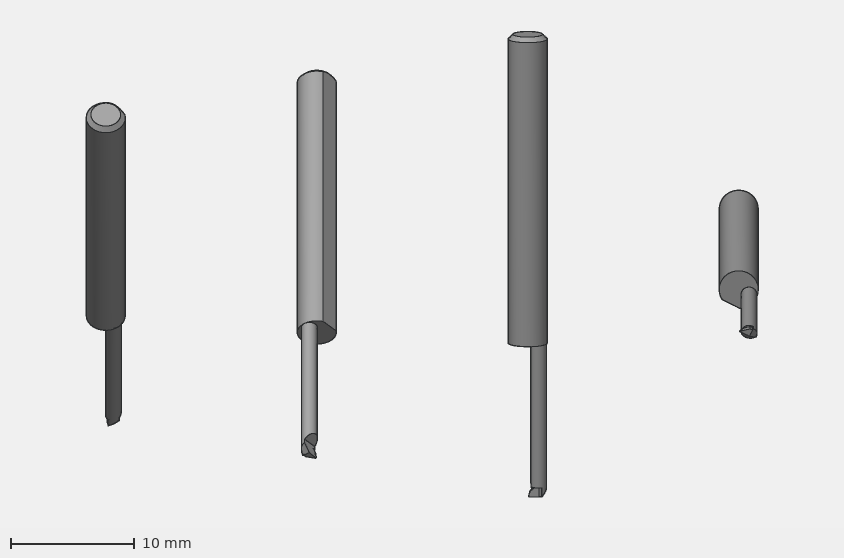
import cadquery as cq

total_length = 38.1
shank_diameter = 3.15
shank_radius = shank_diameter / 2
shank_flat_width = 2.95
shank_bottom = 12.7
shank_chamfer = 0.4

neck_diameter = 1.3
neck_radius = neck_diameter / 2
neck_x = shank_radius - neck_radius
neck_bottom = 0.08
relief_corner_z = 0.72
relief_end_x = 1.0
rake_y = 0.05
rake_bottom = 1.05

tooth_top = 0.8
tip_x = 0.08
tip_flank_top = 0.5
tip_flank_x = 0.2
tip_nose_x = 0.15
tooth_root_x = 0.45
clearance_x = 0.75
clearance_y = -0.55

margin = 0.4


def make_shank():
    """Round shank with a chamfered top end and a flat along its +Y side."""
    shank_length = total_length - shank_bottom
    shank = (
        cq.Workplane("XY", origin=(0, 0, shank_bottom))
        .circle(shank_radius)
        .extrude(shank_length)
        .faces(">Z")
        .chamfer(shank_chamfer)
    )
    keep = cq.Workplane("XY", origin=(0, 0, shank_bottom)).box(
        shank_diameter, shank_flat_width, shank_length, centered=(True, False, False)
    )
    return shank.intersect(keep.translate((0, -shank_radius, 0)))


def make_neck():
    """Neck cut to its front half at the end, with a step for the tooth and a slanted end."""
    neck = (
        cq.Workplane("XY", origin=(neck_x, 0, neck_bottom))
        .circle(neck_radius)
        .extrude(shank_bottom - neck_bottom)
    )
    runout_y = neck_radius + margin
    runout_z = rake_bottom + runout_y - rake_y
    rake_cut = (
        cq.Workplane("YZ")
        .polyline([(rake_y, 0), (rake_y, rake_bottom), (runout_y, runout_z), (runout_y, 0)])
        .close()
        .extrude(shank_diameter)
    )
    end_relief = (
        cq.Workplane("XZ")
        .polyline([(relief_end_x, neck_bottom), (shank_radius, relief_corner_z), (shank_radius, neck_bottom)])
        .close()
        .extrude(neck_radius, both=True)
    )
    tooth_step = cq.Workplane("XY").box(
        relief_end_x, neck_diameter, tooth_top, centered=(False, True, False)
    )
    return neck.cut(rake_cut).cut(end_relief).cut(tooth_step)


def make_tooth():
    """Hooked tooth whose flank runs back from the cutting edge on the rake face."""
    profile = (
        cq.Workplane("XZ")
        .polyline([
            (tip_nose_x, 0),
            (tip_x, neck_bottom),
            (tip_flank_x, tip_flank_top),
            (tooth_root_x, tooth_top),
            (relief_end_x, tooth_top),
            (relief_end_x, neck_bottom),
        ])
        .close()
        .extrude(neck_radius, both=True)
    )
    flank = (
        cq.Workplane("XY")
        .polyline([
            (tip_x, rake_y),
            (clearance_x, clearance_y),
            (relief_end_x, clearance_y),
            (relief_end_x, rake_y),
        ])
        .close()
        .extrude(tooth_top)
    )
    return profile.intersect(flank)


result = make_shank().union(make_neck()).union(make_tooth())